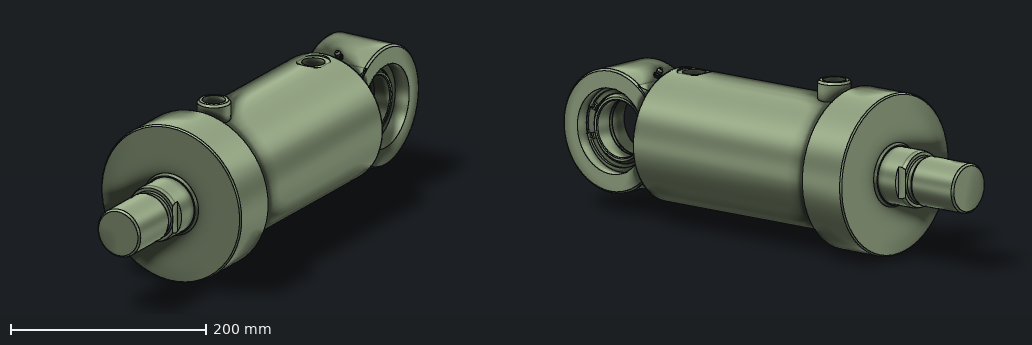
import cadquery as cq
import math


overall_length = 520.0
overall_height = 173.0

eye_diameter = 130.0
eye_radius = eye_diameter / 2
eye_width = 70.0
eye_chamfer = 2.0
eye_bore_diameter = 90.0
neck_bottom_z = -54.0
neck_join_angle = math.radians(34.5)
neck_curve_radius = 62.5

barrel_diameter = 140.0
barrel_radius = barrel_diameter / 2
barrel_back_y = -59.5
barrel_chamfer = 1.5
flange_diameter = 170.0
flange_length = 52.0
flange_back_y = -302.5
flange_front_y = flange_back_y - flange_length
flange_chamfer = 1.5
collar_base_diameter = 67.0
collar_tip_diameter = 62.5
collar_length = 2.5

port_diameter = 24.0
port_depth = 18.0
port_point_height = port_diameter / 2 * math.tan(math.radians(30))
back_port_y = -82.5
front_port_y = -272.5
boss_diameter = 35.0
boss_chamfer_width = 2.0
boss_chamfer_height = 2.5
boss_top_z = overall_height - flange_diameter / 2
spotface_diameter = boss_diameter
spotface_depth = 1.5
spotface_z = barrel_radius - spotface_depth

rod_tip_y = eye_radius - overall_length
rod_diameter = 60.0
rod_inner_end_y = flange_back_y
shoulder_y = -390.5
shoulder_chamfer_length = 4.5
shoulder_chamfer_depth = 1.0
flat_start_y = -381.0
flats_width = 50.0
thread_diameter = 52.0
thread_start_y = -400.0
thread_chamfer = 2.0
relief_diameter = 48.0
relief_taper_y = -397.0
relief_corner = 1.5

bearing_bore_diameter = 60.0
bearing_sphere_radius = 40.0
outer_ring_half_width = 18.0
outer_ring_lip_radius = 37.0
inner_ring_half_width = 22.0
lip_chamfer = 1.5
inner_ring_chamfer = 1.0
oil_groove_width = 4.0
oil_groove_depth = 0.5
oil_hole_diameter = 5.15
oil_hole_angle = -58.0

ring_outer_diameter = 93.5
ring_inner_diameter = 81.5
ring_inner_offset = 1.5
ring_thickness = 3.0
ring_gap_angle = 38.0
ring_gap_direction = 5.0
lug_angle = 9.0
lug_inner_radius = 37.0
lug_hole_diameter = 3.5
lug_hole_radius = 40.5
ring_outer_face_x = -outer_ring_half_width - ring_thickness

nipple_angle = 30.0
nipple_shank_diameter = 5.15
nipple_neck_diameter = 3.5
nipple_head_diameter = 6.0
nipple_tip_diameter = 3.0
nipple_depth = 5.0
nipple_hex_top = 2.5
nipple_hex_corner_diameter = 8.5
nipple_neck_top = 5.0
nipple_head_top = 8.0
nipple_tip_top = 10.5


def disc_along_y(diameter, start_y, end_y):
    """Cylinder on the Y axis from start_y down to end_y."""
    return cq.Workplane("XZ", origin=(0, start_y, 0)).circle(diameter / 2).extrude(start_y - end_y)


def disc_along_x(diameter, start_x, length):
    """Cylinder on the X axis, running from start_x towards +X."""
    return cq.Workplane("YZ", origin=(start_x, 0, 0)).circle(diameter / 2).extrude(length)


def make_neck():
    """Web between eye and barrel: flat below, and a concave top that levels out at the barrel."""
    join_y = -eye_radius * math.sin(neck_join_angle)
    join_z = eye_radius * math.cos(neck_join_angle)
    sweep = math.asin((join_y - barrel_back_y) / neck_curve_radius)
    curve_centre_z = join_z + neck_curve_radius * math.cos(sweep)
    middle_y = barrel_back_y + neck_curve_radius * math.sin(sweep / 2)
    middle_z = curve_centre_z - neck_curve_radius * math.cos(sweep / 2)
    neck = (
        cq.Workplane("YZ", origin=(-eye_width / 2, 0, 0))
        .moveTo(0, join_z)
        .lineTo(join_y, join_z)
        .threePointArc((middle_y, middle_z), (barrel_back_y, curve_centre_z - neck_curve_radius))
        .lineTo(barrel_back_y, neck_bottom_z)
        .lineTo(0, neck_bottom_z)
        .close()
        .extrude(eye_width)
    )
    return neck.cut(disc_along_x(eye_diameter, -eye_width / 2, eye_width))


def make_eye_blank():
    return disc_along_x(eye_diameter, -eye_width / 2, eye_width).edges().chamfer(eye_chamfer)


def make_barrel():
    barrel = disc_along_y(barrel_diameter, barrel_back_y, flange_back_y)
    return barrel.faces(">Y").edges().chamfer(barrel_chamfer)


def make_flange():
    flange = disc_along_y(flange_diameter, flange_back_y, flange_front_y)
    return flange.faces("<Y").edges().chamfer(flange_chamfer)


def make_collar():
    """Conical collar around the rod on the front of the flange."""
    return (
        cq.Workplane("XZ", origin=(0, flange_front_y, 0))
        .circle(collar_base_diameter / 2)
        .workplane(offset=collar_length)
        .circle(collar_tip_diameter / 2)
        .loft(combine=True)
    )


def make_boss():
    """Round boss for the front port."""
    boss = (
        cq.Workplane("XY", origin=(0, front_port_y, 0))
        .circle(boss_diameter / 2)
        .extrude(boss_top_z)
    )
    return boss.faces(">Z").edges().chamfer(boss_chamfer_height, boss_chamfer_width)


def make_port_hole(port_y, mouth_z):
    """Blind drilled hole with a conical bottom."""
    radius = port_diameter / 2
    floor_z = mouth_z - port_depth
    return (
        cq.Workplane("XZ", origin=(0, port_y, 0))
        .moveTo(0, mouth_z)
        .lineTo(radius, mouth_z)
        .lineTo(radius, floor_z)
        .lineTo(0, floor_z - port_point_height)
        .close()
        .revolve(360, (0, 0, 0), (0, 1, 0))
    )


def make_spotface():
    """Flat seat for the back port, cut into the top of the barrel."""
    return (
        cq.Workplane("XY", origin=(0, back_port_y, spotface_z))
        .circle(spotface_diameter / 2)
        .extrude(2 * spotface_depth)
    )


def make_nipple():
    """Grease nipple with a hexagon and a round head, standing radially on the eye."""
    turned = (
        cq.Workplane("XZ")
        .moveTo(0, eye_radius - nipple_depth)
        .lineTo(nipple_shank_diameter / 2, eye_radius - nipple_depth)
        .lineTo(nipple_shank_diameter / 2, eye_radius + nipple_hex_top)
        .lineTo(nipple_neck_diameter / 2, eye_radius + nipple_neck_top)
        .lineTo(nipple_head_diameter / 2, eye_radius + nipple_neck_top)
        .lineTo(nipple_head_diameter / 2, eye_radius + nipple_head_top)
        .lineTo(nipple_tip_diameter / 2, eye_radius + nipple_tip_top)
        .lineTo(0, eye_radius + nipple_tip_top)
        .close()
        .revolve(360, (0, 0, 0), (0, 1, 0))
    )
    hexagon = (
        cq.Workplane("XY", origin=(0, 0, eye_radius))
        .polygon(6, nipple_hex_corner_diameter)
        .extrude(nipple_hex_top)
    )
    return turned.union(hexagon).rotate((0, 0, 0), (1, 0, 0), nipple_angle)


def make_rod():
    """Piston rod with shoulder, thread relief, plain thread and two spanner flats."""
    rod_radius = rod_diameter / 2
    thread_radius = thread_diameter / 2
    relief_radius = relief_diameter / 2
    rod = (
        cq.Workplane("XY")
        .moveTo(0, rod_inner_end_y)
        .lineTo(rod_radius, rod_inner_end_y)
        .lineTo(rod_radius, shoulder_y + shoulder_chamfer_length)
        .lineTo(rod_radius - shoulder_chamfer_depth, shoulder_y)
        .lineTo(relief_radius + relief_corner, shoulder_y)
        .lineTo(relief_radius, shoulder_y - relief_corner)
        .lineTo(relief_radius, relief_taper_y)
        .lineTo(thread_radius, thread_start_y)
        .lineTo(thread_radius, rod_tip_y + thread_chamfer)
        .lineTo(thread_radius - thread_chamfer, rod_tip_y)
        .lineTo(0, rod_tip_y)
        .close()
        .revolve(360, (0, 0, 0), (0, 1, 0))
    )
    flat_length = flat_start_y - shoulder_y
    for side in (-1, 1):
        flat_cut = cq.Workplane("XY").box(rod_diameter, flat_length, rod_diameter)
        flat_x = side * (flats_width + rod_diameter) / 2
        rod = rod.cut(flat_cut.translate((flat_x, shoulder_y + flat_length / 2, 0)))
    return rod


def make_bearing():
    """Spherical bearing: wide outer ring, ball-shaped inner ring, oil groove and oil hole."""
    bore_radius = bearing_bore_diameter / 2
    ball_start_x = outer_ring_half_width - lip_chamfer
    ball_middle_x = (ball_start_x + inner_ring_half_width) / 2

    def ball_radius_at(x):
        return math.sqrt(bearing_sphere_radius**2 - x**2)

    half = (
        cq.Workplane("XY")
        .moveTo(0, bore_radius)
        .lineTo(0, eye_bore_diameter / 2)
        .lineTo(outer_ring_half_width, eye_bore_diameter / 2)
        .lineTo(outer_ring_half_width, outer_ring_lip_radius)
        .lineTo(ball_start_x, ball_radius_at(ball_start_x))
        .threePointArc(
            (ball_middle_x, ball_radius_at(ball_middle_x)),
            (inner_ring_half_width, ball_radius_at(inner_ring_half_width)),
        )
        .lineTo(inner_ring_half_width, bore_radius + inner_ring_chamfer)
        .lineTo(inner_ring_half_width - inner_ring_chamfer, bore_radius)
        .close()
        .revolve(360, (0, 0, 0), (1, 0, 0))
    )
    bearing = half.union(half.mirror("YZ"))
    groove_diameter = bearing_bore_diameter + 2 * oil_groove_depth
    oil_groove = disc_along_x(groove_diameter, -oil_groove_width / 2, oil_groove_width)
    oil_hole = (
        cq.Workplane("XZ")
        .circle(oil_hole_diameter / 2)
        .extrude(-bearing_sphere_radius)
        .rotate((0, 0, 0), (1, 0, 0), oil_hole_angle)
    )
    return bearing.cut(oil_groove).cut(oil_hole)


def ring_plate_sector(start_angle, end_angle):
    """Wedge of the ring plate, from its axis to its outer edge, with angles from +Y towards +Z."""
    outer_radius = ring_outer_diameter / 2

    def rim_point(angle):
        return (outer_radius * math.cos(math.radians(angle)), outer_radius * math.sin(math.radians(angle)))

    return (
        cq.Workplane("YZ", origin=(ring_outer_face_x, 0, 0))
        .lineTo(*rim_point(start_angle))
        .threePointArc(rim_point((start_angle + end_angle) / 2), rim_point(end_angle))
        .close()
        .extrude(ring_thickness)
    )


def make_ring_opening():
    """Space inside the ring: an eccentric disc that steps in to a smaller radius at the lugs."""
    half_reach = ring_gap_angle / 2 + lug_angle
    opening = disc_along_x(ring_inner_diameter, ring_outer_face_x, ring_thickness)
    opening = opening.translate((0, ring_inner_offset, 0))
    opening = opening.rotate((0, 0, 0), (1, 0, 0), ring_gap_direction)
    opening = opening.cut(
        ring_plate_sector(ring_gap_direction - half_reach, ring_gap_direction + half_reach)
    )
    return opening.union(disc_along_x(2 * lug_inner_radius, ring_outer_face_x, ring_thickness))


def make_retaining_ring():
    """Open ring with an eccentric inner edge and a drilled lug on each side of its gap."""
    half_gap = ring_gap_angle / 2
    ring = disc_along_x(ring_outer_diameter, ring_outer_face_x, ring_thickness)
    ring = ring.cut(make_ring_opening())
    ring = ring.cut(ring_plate_sector(ring_gap_direction - half_gap, ring_gap_direction + half_gap))
    for side in (-1, 1):
        lug_hole = (
            disc_along_x(lug_hole_diameter, ring_outer_face_x, ring_thickness)
            .translate((0, lug_hole_radius, 0))
            .rotate((0, 0, 0), (1, 0, 0), ring_gap_direction + side * (half_gap + lug_angle / 2))
        )
        ring = ring.cut(lug_hole)
    return ring


def make_housing():
    """Eye, neck, barrel and flange in one piece, with seats for the other bodies."""
    housing = make_eye_blank().union(make_neck()).union(make_barrel()).union(make_flange())
    housing = housing.union(make_collar()).union(make_boss())
    housing = housing.cut(make_spotface())
    housing = housing.cut(make_port_hole(back_port_y, spotface_z))
    housing = housing.cut(make_port_hole(front_port_y, boss_top_z))
    housing = housing.cut(disc_along_x(eye_bore_diameter, -eye_width / 2, eye_width))
    housing = housing.cut(disc_along_x(ring_outer_diameter, ring_outer_face_x, ring_thickness))
    rod_seat = disc_along_y(rod_diameter, rod_inner_end_y, flange_front_y - collar_length)
    return housing.cut(rod_seat).cut(make_nipple())


housing = make_housing()
rod = make_rod()
bearing = make_bearing()
retaining_ring = make_retaining_ring()
nipple = make_nipple()

result = cq.Compound.makeCompound(
    [housing.val(), rod.val(), bearing.val(), retaining_ring.val(), nipple.val()]
)